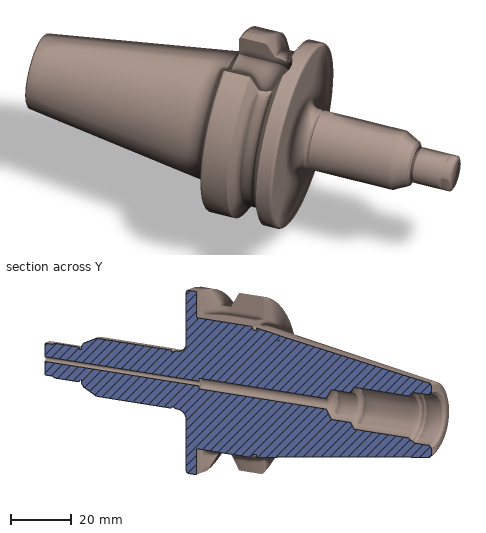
import cadquery as cq
import math

shank_length = 65.5
taper_ratio = 7 / 24
gauge_radius = 22.2
small_end_radius = gauge_radius - shank_length * taper_ratio / 2
shank_edge_chamfer_depth = 0.6
shank_edge_chamfer_height = 0.7
gauge_land_end = 65.9
undercut_radius = 21.4
undercut_fillet = 0.9

flange_radius = 63.0 / 2
flange_start = 67.3
flange_end = 92.3
flange_edge_radius = 1.0
groove_radius = 26.5
groove_start = 76.8
groove_floor_start = 79.8
groove_floor_end = 84.0
groove_end = 87.0

slot_width = 16.1
slot_floor = 22.5
slot_end = 88.3

body_radius = 10.0
root_fillet = 3.0
relief_start = 96.1
relief_end = 97.4
relief_shoulder = 97.7
relief_radius = 9.3
nose_blend_start = 125.5
nose_cone_start = 126.8
nose_cone_start_radius = 9.6
nose_cone_end = 130.9
nose_cone_end_radius = 7.5
nose_face = 131.6
nose_face_radius = 6.4
neck_radius = 10.6 / 2
neck_end = 132.3
tip_radius = 12.0 / 2
tip_back_chamfer = 0.3
tip_chamfer_length = 0.6
tip_chamfer_height = 0.9
overall_length = 145.4

flat_distance = 5.5
flat_start = 141.6
flat_ramp_length = 0.7

mouth_radius = 8.6
mouth_chamfer_length = 0.7
mouth_face_radius = 9.5
mouth_end = 6.4
step_radius = 8.0
step_start = 7.0
step_end = 7.7
thread_radius = 7.1
thread_start = 8.6
thread_end = 29.1
pilot_radius = 10.0 / 2
pilot_length = 7.3
drill_point_angle = 118
feed_hole_radius = 1.7
feed_hole_end = 87.2
through_hole_radius = 0.7


def outer_body():
    """Revolve the outer profile (X along the axis, Y as radius)."""
    arc_mid_ratio = 1 - math.sqrt(0.5)
    undercut_mid = undercut_fillet * arc_mid_ratio
    edge_mid = flange_edge_radius * arc_mid_ratio
    root_mid = root_fillet * arc_mid_ratio
    return (
        cq.Workplane("XY")
        .moveTo(0, 0)
        .lineTo(0, small_end_radius - shank_edge_chamfer_height)
        .lineTo(shank_edge_chamfer_depth, small_end_radius + shank_edge_chamfer_depth * taper_ratio / 2)
        .lineTo(shank_length, gauge_radius)
        .lineTo(gauge_land_end, gauge_radius)
        .lineTo(gauge_land_end, undercut_radius)
        .lineTo(flange_start - undercut_fillet, undercut_radius)
        .threePointArc(
            (flange_start - undercut_mid, undercut_radius + undercut_mid),
            (flange_start, undercut_radius + undercut_fillet),
        )
        .lineTo(flange_start, flange_radius - flange_edge_radius)
        .threePointArc(
            (flange_start + edge_mid, flange_radius - edge_mid),
            (flange_start + flange_edge_radius, flange_radius),
        )
        .lineTo(groove_start, flange_radius)
        .lineTo(groove_floor_start, groove_radius)
        .lineTo(groove_floor_end, groove_radius)
        .lineTo(groove_end, flange_radius)
        .lineTo(flange_end - flange_edge_radius, flange_radius)
        .threePointArc(
            (flange_end - edge_mid, flange_radius - edge_mid),
            (flange_end, flange_radius - flange_edge_radius),
        )
        .lineTo(flange_end, body_radius + root_fillet)
        .threePointArc(
            (flange_end + root_mid, body_radius + root_mid),
            (flange_end + root_fillet, body_radius),
        )
        .lineTo(relief_start, body_radius)
        .lineTo(relief_end, relief_radius)
        .lineTo(relief_shoulder, body_radius)
        .lineTo(nose_blend_start, body_radius)
        .tangentArcPoint((nose_cone_start, nose_cone_start_radius), relative=False)
        .lineTo(nose_cone_end, nose_cone_end_radius)
        .lineTo(nose_face, nose_face_radius)
        .lineTo(nose_face, neck_radius)
        .lineTo(neck_end, neck_radius)
        .lineTo(neck_end, tip_radius - tip_back_chamfer)
        .lineTo(neck_end + tip_back_chamfer, tip_radius)
        .lineTo(overall_length - tip_chamfer_length, tip_radius)
        .lineTo(overall_length, tip_radius - tip_chamfer_height)
        .lineTo(overall_length, 0)
        .close()
        .revolve(360, (0, 0, 0), (1, 0, 0))
    )


def stepped_bore():
    """Revolve the bore profile, open at both ends of the part."""
    drill_slope = 1 / math.tan(math.radians(drill_point_angle / 2))
    pilot_start = thread_end + (thread_radius - pilot_radius) * drill_slope
    pilot_end = pilot_start + pilot_length
    feed_hole_start = pilot_end + (pilot_radius - feed_hole_radius) * drill_slope
    return (
        cq.Workplane("XY")
        .moveTo(0, 0)
        .lineTo(0, mouth_face_radius)
        .lineTo(mouth_chamfer_length, mouth_radius)
        .lineTo(mouth_end, mouth_radius)
        .lineTo(step_start, step_radius)
        .lineTo(step_end, step_radius)
        .lineTo(thread_start, thread_radius)
        .lineTo(thread_end, thread_radius)
        .lineTo(pilot_start, pilot_radius)
        .lineTo(pilot_end, pilot_radius)
        .lineTo(feed_hole_start, feed_hole_radius)
        .lineTo(feed_hole_end, feed_hole_radius)
        .lineTo(feed_hole_end, through_hole_radius)
        .lineTo(overall_length, through_hole_radius)
        .lineTo(overall_length, 0)
        .close()
        .revolve(360, (0, 0, 0), (1, 0, 0))
    )


def drive_slot():
    """Round-ended slot cutter above the +Z slot floor."""
    half_width = slot_width / 2
    arc_centre = slot_end - half_width
    return (
        cq.Workplane("XY", origin=(0, 0, slot_floor))
        .moveTo(gauge_land_end, -half_width)
        .lineTo(arc_centre, -half_width)
        .threePointArc((slot_end, 0), (arc_centre, half_width))
        .lineTo(gauge_land_end, half_width)
        .close()
        .extrude(flange_radius - slot_floor)
    )


def wrench_flat():
    """Cutter for the +Z flat, with a short sloping run-out."""
    return (
        cq.Workplane("XZ")
        .moveTo(flat_start, tip_radius)
        .lineTo(flat_start + flat_ramp_length, flat_distance)
        .lineTo(overall_length, flat_distance)
        .lineTo(overall_length, tip_radius)
        .close()
        .extrude(tip_radius, both=True)
    )


def around_axis(cutter, count):
    """Return copies of a cutter spaced evenly around the X axis."""
    return [cutter.rotate((0, 0, 0), (1, 0, 0), i * 360 / count) for i in range(count)]


result = outer_body().cut(stepped_bore())
for cutter in around_axis(drive_slot(), 2) + around_axis(wrench_flat(), 4):
    result = result.cut(cutter)